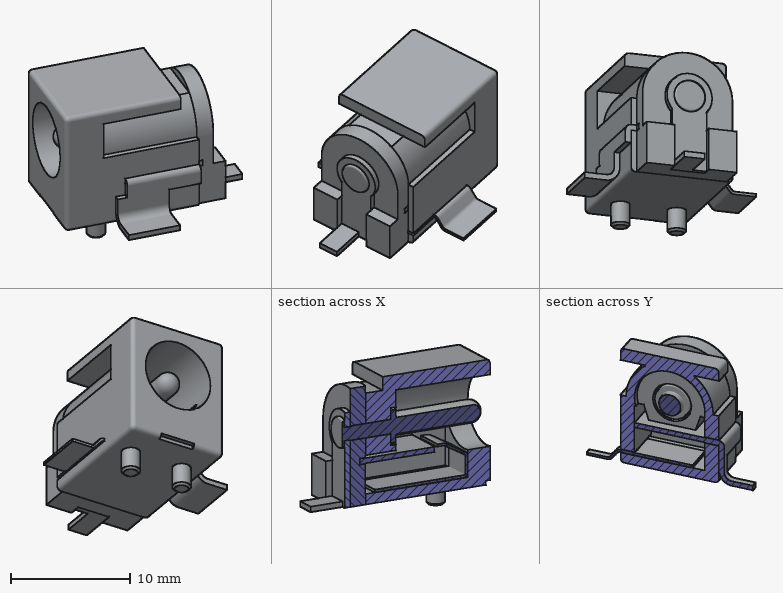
import cadquery as cq
import math

OVERALL_LENGTH = 17.0
OVERALL_WIDTH = 15.2
TERMINAL_TIP = OVERALL_WIDTH / 2

HOUSING_WIDTH = 9.01
HOUSING_LENGTH = 11.97
HOUSING_HEIGHT = 11.0
AXIS_HEIGHT = 6.5
HOUSING_SIDE = HOUSING_WIDTH / 2
HOUSING_BOTTOM = -AXIS_HEIGHT
HOUSING_TOP = HOUSING_BOTTOM + HOUSING_HEIGHT
HOUSING_FILLET = 0.39
ROOF_LENGTH = 10.34
ROOF_UNDERSIDE = 3.32
WINDOW_START = 3.42
CORE_RADIUS = 4.0
GATE_WIDTH = 3.23
GATE_HEIGHT = 0.35

BORE_DIAMETER = 6.4
BORE_RADIUS = BORE_DIAMETER / 2
BORE_DEPTH = 9.01
POCKET_START = 2.16
POCKET_CEILING = -0.78
BOSS_TOP_HALF_WIDTH = 2.58
BOSS_BOTTOM_HALF_WIDTH = 2.15
BOSS_BOTTOM = -2.18

PEG_DIAMETER = 1.6
PEG_LENGTH = 2.0
PEG_OFFSET = 2.5
PEG_Y = 3.48
PEG_CHAMFER = 0.2

COVER_THICKNESS = 1.48
COVER_BACK = HOUSING_LENGTH + COVER_THICKNESS
FOOT_BACK = 14.54
FOOT_GAP = 3.03

PIN_TIP_Y = 0.68
PIN_RADIUS = 2.0 / 2
PIN_ROOT_FILLET = 0.1
COLLAR_RADIUS = 3.2 / 2
COLLAR_THICKNESS = 0.5
COLLAR_FILLET = 0.07
COLLAR_RECESS_DIAMETER = 3.5
SHANK_DIAMETER = 1.8
RIVET_RADIUS = 1.36
RIVET_THICKNESS = 0.24
RIVET_FILLET = 0.15

SHEET = 0.5
RING_DIAMETER = 4.0
TAIL_WIDTH = 1.8
TAIL_RIGHT = FOOT_GAP / 2
RING_BACK = COVER_BACK + SHEET

FOOT_START = 4.49
FOOT_END = 9.08

SHUNT_TOP = -2.38
SHUNT_BOTTOM = SHUNT_TOP - SHEET
SHUNT_START = 5.34
SHUNT_SKIRT_BOTTOM = -3.96
SHUNT_BEND_RADIUS = 0.94
TONGUE_DEPTH = 0.51

LEAF = 0.25
LEAF_TOP = -5.27
LEAF_BOTTOM = LEAF_TOP - LEAF
LEAF_BACK = 11.1
LEAF_FOOT_ANGLE = math.radians(52)
LEAF_UPPER_BEND = 0.45
LEAF_LOWER_BEND = 0.48
RAMP_LEFT = -1.68
RAMP_RIGHT = 2.1
RAMP_ANGLE = math.radians(29)
RAMP_START = 2.31
RAMP_FOOT = -3.47
RAMP_FOLD_RADIUS = 0.14
CREST_BEND_RADIUS = 0.95
CREST_TOP = -2.2
LEAF_TIP_Y = 5.1

POCKET_FLOOR = LEAF_BOTTOM


def block(x0, x1, y0, y1, z0, z1):
    """Box between opposite corner coordinates."""
    return cq.Workplane("XY").box(x1 - x0, y1 - y0, z1 - z0, centered=False).translate((x0, y0, z0))


def along_y(start_y):
    """XZ workplane at the given Y, to be extruded by a negative distance toward +Y."""
    return cq.Workplane("XZ", origin=(0, start_y, 0))


def rod(diameter, y0, y1):
    """Cylinder on the plug axis."""
    return along_y(y0).circle(diameter / 2).extrude(y0 - y1)


def bent_strip(plane, path, thickness):
    """Closed outline of a sheet strip that follows a centreline.

    Each path entry is (u, v, bend radius); the radius is measured at the centreline
    and is not used at the two ends.
    """
    half = thickness / 2
    left, right = [], []
    for i, (u, v, radius) in enumerate(path):
        incoming = outgoing = None
        if i > 0:
            incoming = math.atan2(v - path[i - 1][1], u - path[i - 1][0])
        if i < len(path) - 1:
            outgoing = math.atan2(path[i + 1][1] - v, path[i + 1][0] - u)
        if incoming is None or outgoing is None:
            heading = outgoing if incoming is None else incoming
            for side, offset in ((left, half), (right, -half)):
                side.append([(u - offset * math.sin(heading), v + offset * math.cos(heading))])
            continue
        turn = math.remainder(outgoing - incoming, 2 * math.pi)
        tangent_length = radius * math.tan(abs(turn) / 2)
        direction = math.copysign(1, turn)
        center_u = u - tangent_length * math.cos(incoming) - direction * radius * math.sin(incoming)
        center_v = v - tangent_length * math.sin(incoming) + direction * radius * math.cos(incoming)
        for side, offset in ((left, half), (right, -half)):
            reach = radius - direction * offset
            arc = []
            for heading in (incoming, incoming + turn / 2, outgoing):
                arc.append((center_u + direction * reach * math.sin(heading),
                            center_v - direction * reach * math.cos(heading)))
            side.append(arc)

    outline = plane.moveTo(*left[0][0])
    for stop in left[1:] + [stop[::-1] for stop in right[::-1]]:
        outline = outline.lineTo(*stop[0])
        if len(stop) > 1:
            outline = outline.threePointArc(stop[1], stop[2])
    return outline.close()


def make_outer_shell():
    """Rounded box with the rear roof step, the side windows and the gate notch."""
    shell = block(-HOUSING_SIDE, HOUSING_SIDE, 0, HOUSING_LENGTH, HOUSING_BOTTOM, HOUSING_TOP)
    shell = shell.edges("|Y or <Y").fillet(HOUSING_FILLET)
    roof_step = block(-HOUSING_SIDE, HOUSING_SIDE, ROOF_LENGTH, HOUSING_LENGTH, ROOF_UNDERSIDE, HOUSING_TOP)
    shell = shell.cut(roof_step)
    windows = block(-HOUSING_SIDE, HOUSING_SIDE, WINDOW_START, HOUSING_LENGTH, 0, ROOF_UNDERSIDE)
    windows = windows.cut(rod(2 * CORE_RADIUS, WINDOW_START, HOUSING_LENGTH))
    gate = block(-GATE_WIDTH / 2, GATE_WIDTH / 2, 0, HOUSING_FILLET,
                 HOUSING_BOTTOM, HOUSING_BOTTOM + GATE_HEIGHT)
    return shell.cut(windows).cut(gate)


def make_contact_pocket():
    """Space for the contacts below the bore, around the boss that carries the pin."""
    pocket = block(-BORE_RADIUS, BORE_RADIUS, POCKET_START, HOUSING_LENGTH, POCKET_FLOOR, POCKET_CEILING)
    boss = along_y(BORE_DEPTH).polyline([
        (-BOSS_TOP_HALF_WIDTH, POCKET_CEILING),
        (BOSS_TOP_HALF_WIDTH, POCKET_CEILING),
        (BOSS_BOTTOM_HALF_WIDTH, BOSS_BOTTOM),
        (-BOSS_BOTTOM_HALF_WIDTH, BOSS_BOTTOM),
    ]).close().extrude(BORE_DEPTH - HOUSING_LENGTH)
    return pocket.cut(boss)


def make_peg(x):
    """Locating peg with a chamfered lower end."""
    peg = cq.Workplane("XY", origin=(x, PEG_Y, HOUSING_BOTTOM)).circle(PEG_DIAMETER / 2).extrude(-PEG_LENGTH)
    return peg.faces("<Z").chamfer(PEG_CHAMFER)


def make_housing():
    """Shell with the bore, the contact pocket, the pin recess, two side slots and two pegs."""
    housing = make_outer_shell()
    housing = housing.cut(rod(BORE_DIAMETER, 0, BORE_DEPTH))
    housing = housing.cut(make_contact_pocket())
    housing = housing.cut(rod(COLLAR_RECESS_DIAMETER, BORE_DEPTH, BORE_DEPTH + COLLAR_THICKNESS))
    housing = housing.cut(rod(SHANK_DIAMETER, BORE_DEPTH, HOUSING_LENGTH))
    leaf_slot = block(-HOUSING_SIDE, 0, FOOT_START, HOUSING_LENGTH, LEAF_BOTTOM, LEAF_TOP)
    shunt_slot = block(0, HOUSING_SIDE, SHUNT_START, HOUSING_LENGTH, SHUNT_BOTTOM, SHUNT_TOP)
    housing = housing.cut(leaf_slot).cut(shunt_slot)
    for x in (-PEG_OFFSET, PEG_OFFSET):
        housing = housing.union(make_peg(x))
    return housing


def make_rear_cover():
    """Round-topped plate with two feet, a pin hole and a groove for the shunt tongue."""
    cover = rod(2 * CORE_RADIUS, HOUSING_LENGTH, COVER_BACK)
    cover = cover.union(block(-CORE_RADIUS, CORE_RADIUS, HOUSING_LENGTH, COVER_BACK, HOUSING_BOTTOM, 0))
    feet = block(-CORE_RADIUS, CORE_RADIUS, COVER_BACK, FOOT_BACK, HOUSING_BOTTOM, SHUNT_BOTTOM)
    gap = block(-FOOT_GAP / 2, FOOT_GAP / 2, COVER_BACK, FOOT_BACK, HOUSING_BOTTOM, SHUNT_BOTTOM)
    cover = cover.union(feet.cut(gap))
    cover = cover.cut(rod(SHANK_DIAMETER, HOUSING_LENGTH, COVER_BACK))
    return cover.cut(make_tongue())


def make_pin():
    """Domed pin with a collar, a shank through the cover and a riveted rear head."""
    pin = rod(2 * PIN_RADIUS, PIN_TIP_Y + PIN_RADIUS, BORE_DEPTH)
    dome = cq.Workplane("XY").sphere(PIN_RADIUS).rotate((0, 0, 0), (1, 0, 0), 90)
    dome = dome.translate((0, PIN_TIP_Y + PIN_RADIUS, 0))
    collar = rod(2 * COLLAR_RADIUS, BORE_DEPTH, BORE_DEPTH + COLLAR_THICKNESS)
    collar = collar.faces("<Y").edges().fillet(COLLAR_FILLET)
    pin = pin.union(collar)
    root = cq.selectors.BoxSelector(
        (-PIN_RADIUS - PIN_ROOT_FILLET, BORE_DEPTH - PIN_ROOT_FILLET, -PIN_RADIUS - PIN_ROOT_FILLET),
        (PIN_RADIUS + PIN_ROOT_FILLET, BORE_DEPTH + PIN_ROOT_FILLET, PIN_RADIUS + PIN_ROOT_FILLET),
        boundingbox=True)
    pin = pin.edges(root).fillet(PIN_ROOT_FILLET)
    rivet = rod(2 * RIVET_RADIUS, RING_BACK, RING_BACK + RIVET_THICKNESS)
    rivet = rivet.faces(">Y").edges().fillet(RIVET_FILLET)
    shank = rod(SHANK_DIAMETER, BORE_DEPTH + COLLAR_THICKNESS, RING_BACK)
    return pin.union(dome).union(shank).union(rivet)


def make_pin_terminal():
    """Ring under the rivet head, a strap filling the gap between the feet, and a rearward tail."""
    tail_left = TAIL_RIGHT - TAIL_WIDTH
    ring = rod(RING_DIAMETER, COVER_BACK, RING_BACK)
    strap = block(-FOOT_GAP / 2, FOOT_GAP / 2, COVER_BACK, RING_BACK, HOUSING_BOTTOM, 0)
    tail = block(tail_left, TAIL_RIGHT, COVER_BACK, OVERALL_LENGTH, HOUSING_BOTTOM, HOUSING_BOTTOM + SHEET)
    return ring.union(strap).union(tail).cut(rod(SHANK_DIAMETER, COVER_BACK, RING_BACK))


def make_tongue():
    """Rear tongue of the shunt terminal, held in the front of the cover."""
    tongue_back = HOUSING_LENGTH + TONGUE_DEPTH
    return block(-CORE_RADIUS, CORE_RADIUS, HOUSING_LENGTH, tongue_back, SHUNT_BOTTOM, SHUNT_TOP)


def make_shunt_terminal():
    """Plate under the plug, folded down outside the right wall into a solder foot."""
    outer = HOUSING_SIDE + SHEET
    plate = block(-BORE_RADIUS, outer, SHUNT_START, HOUSING_LENGTH, SHUNT_BOTTOM, SHUNT_TOP)
    skirt = block(HOUSING_SIDE, outer, SHUNT_START, HOUSING_LENGTH, SHUNT_SKIRT_BOTTOM, SHUNT_TOP)
    terminal = plate.union(skirt).edges("|Y and >X and >Z").fillet(SHEET)
    upright = HOUSING_SIDE + SHEET / 2
    foot_level = HOUSING_BOTTOM + SHEET / 2
    foot_path = [
        (upright, SHUNT_SKIRT_BOTTOM, 0),
        (upright, foot_level, SHUNT_BEND_RADIUS),
        (TERMINAL_TIP, foot_level, 0),
    ]
    foot = bent_strip(along_y(FOOT_START), foot_path, SHEET).extrude(FOOT_START - FOOT_END)
    return terminal.union(foot).union(make_tongue())


def make_leaf_spring():
    """Solder foot on the left, floor arm in the pocket and a ramp folded up into the bore."""
    foot_level = HOUSING_BOTTOM + LEAF / 2
    arm_level = LEAF_BOTTOM + LEAF / 2
    upper_bend = -HOUSING_SIDE - LEAF_UPPER_BEND * math.tan(LEAF_FOOT_ANGLE / 2)
    lower_bend = upper_bend - (arm_level - foot_level) / math.tan(LEAF_FOOT_ANGLE)
    foot_path = [
        (-TERMINAL_TIP, foot_level, 0),
        (lower_bend, foot_level, LEAF_LOWER_BEND),
        (upper_bend, arm_level, LEAF_UPPER_BEND),
        (RAMP_LEFT, arm_level, 0),
    ]
    foot = bent_strip(along_y(FOOT_START), foot_path, LEAF).extrude(FOOT_START - FOOT_END)

    arm = block(-BORE_RADIUS, RAMP_RIGHT, FOOT_START, LEAF_BACK, LEAF_BOTTOM, LEAF_TOP)
    bevel_run = LEAF / math.tan(LEAF_FOOT_ANGLE)
    bevel = along_y(FOOT_END).polyline([
        (-BORE_RADIUS, LEAF_BOTTOM),
        (-BORE_RADIUS + bevel_run, LEAF_BOTTOM),
        (-BORE_RADIUS, LEAF_TOP),
    ]).close().extrude(FOOT_END - LEAF_BACK)

    crest_level = CREST_TOP - LEAF / 2
    crest_y = RAMP_START + (crest_level - RAMP_FOOT) / math.tan(RAMP_ANGLE)
    ramp_path = [
        (FOOT_START, arm_level, 0),
        (RAMP_START, arm_level, RAMP_FOLD_RADIUS),
        (RAMP_START, RAMP_FOOT, RAMP_FOLD_RADIUS),
        (crest_y, crest_level, CREST_BEND_RADIUS),
        (LEAF_TIP_Y, crest_level, 0),
    ]
    ramp_plane = cq.Workplane("YZ", origin=(RAMP_LEFT, 0, 0))
    ramp = bent_strip(ramp_plane, ramp_path, LEAF).extrude(RAMP_RIGHT - RAMP_LEFT)
    return arm.cut(bevel).union(foot).union(ramp)


housing = make_housing()
rear_cover = make_rear_cover()
pin = make_pin()
pin_terminal = make_pin_terminal()
shunt_terminal = make_shunt_terminal()
leaf_spring = make_leaf_spring()

result = cq.Compound.makeCompound([
    housing.solids().val(),
    rear_cover.solids().val(),
    pin.solids().val(),
    pin_terminal.solids().val(),
    shunt_terminal.solids().val(),
    leaf_spring.solids().val(),
])